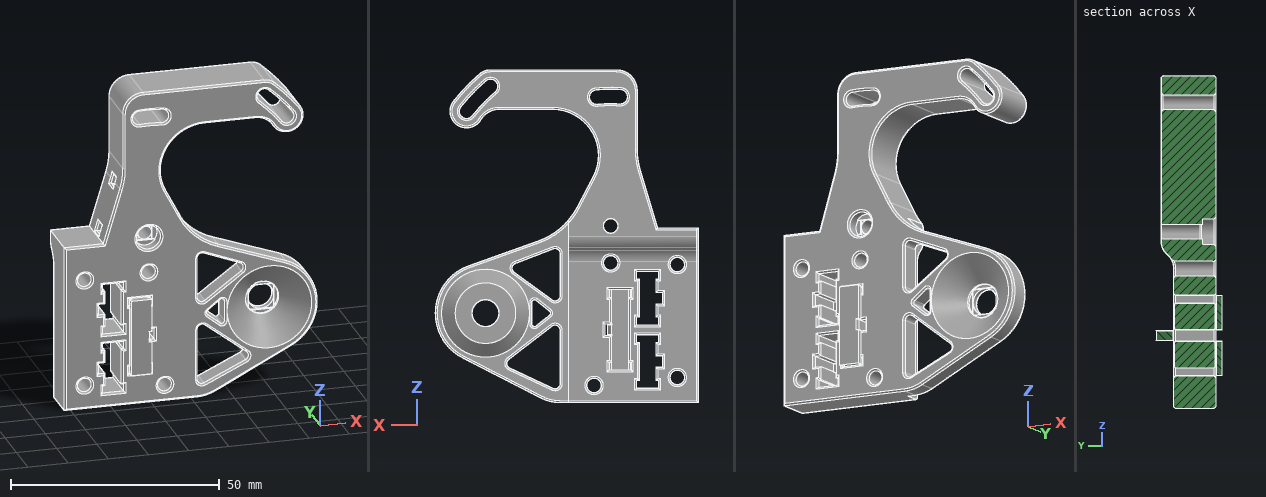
import cadquery as cq
import math

ARM_DEPTH = 13.15
BASE_DEPTH = 10.2
LOBE_DEPTH = 6.0
EDGE_CHAMFER = 0.5
RAMP_RADIUS = 3.75
RAMP_TOP = 39.9
RAMP_BOTTOM = 33.8
LOBE_START_X = 31.1
LOBE_RELIEF_TOP = 49.45

BLOCK_TOP = 41.9
NECK_X = 9.7
ARM_LEFT = 14.6
ARM_TOP = 79.75
ARM_CORNER = 5.0
BEND_RADIUS = 17.95
BEND_CENTER = (ARM_LEFT - BEND_RADIUS, 60.7)
BOTTOM_CORNER = (33.1, 10.0)
LOBE_CENTER = (51.0, 21.45)
LOBE_RADIUS = 12.05
BAY_TOP = 70.25
BAY_RADIUS = 11.0
BAY_CENTER_X = 34.9
BAY_LOWER_CENTER = (43.9, 54.55)
BAY_LOWER_RADIUS = 16.75
HOOK_FILLET = 5.0
HOOK_RADIUS = 4.0

BOLT_DIAMETER = 3.4
BOLT_CENTERS = [(5.0, 33.1), (5.0, 6.1), (25.0, 4.15), (21.0, 33.5)]
PIVOT_CENTER = (21.0, 42.35)
PIVOT_SEAT_DIAMETER = 6.0
PIVOT_SEAT_DEPTH = 3.2
BRIDGE_STEP = 0.3
SLOT_WIDTH = 3.4
ARM_SLOT_RADIUS = 31.0
ARM_SLOT_ANGLES = (83.8, 94.2)
HOOK_SLOT_RADIUS = 44.1
HOOK_TIP_ANGLE = 38.5
HOOK_BEND_ANGLE = math.degrees(math.asin((ARM_TOP - HOOK_RADIUS - PIVOT_CENTER[1]) / HOOK_SLOT_RADIUS))

CONE_DIAMETER = 21.05
SEAT_DIAMETER = 8.2
CONE_DEPTH = (CONE_DIAMETER - SEAT_DIAMETER) / 2
BORE_DIAMETER = 6.4
BOSS_BASE_RADIUS = 10.5
BOSS_END = 9.25
SEAT_DEPTH = 6.85

WINDOW_RADIUS = 1.2
WINDOWS = [
    [(34.3, 35.7), (34.3, 25.6), (43.4, 32.2)],
    [(34.3, 17.4), (34.3, 4.55), (44.65, 9.4)],
]
SMALL_WINDOW_RADIUS = 0.6
SMALL_WINDOW = [(36.05, 21.45), (39.2, 18.9), (39.2, 24.0)]

POCKET_WIDTH = 4.0
POCKET_END_WIDTH = 5.3
POCKET_END_HEIGHT = 1.8
NOTCH_REACH = 1.6
NOTCH_HEIGHT = 2.7
SHORT_POCKET = 12.75
SHORT_POCKET_CENTERS = [(12.1, 25.05), (12.1, 9.9)]
CLIP_CENTER = (18.75, 17.5)

CLIP_HEIGHT = 19.2
CLIP_HEAD_WIDTH = 5.1
CLIP_HEAD_DEPTH = 1.4
CLIP_BACK = 15.5
HEAD_NOTCH_DEPTH = 0.6
BARB_REACH = 1.0
BARB_HEIGHT = 2.4
BARB_TIP_Y = 13.5
BARB_END_Y = 14.6

TIE_DISTANCE = 8.0
TIE_INNER_RADIUS = 5.0
TIE_OUTER_RADIUS = 7.3
TIE_WIDTH = 3.0
TIE_CENTER_Y = 6.6
TIE_CHAMFER = 0.4
TIE_OVERSHOOT = 0.1


def belt(workplane, circles):
    """Closed outline round circles (x, y, radius), counterclockwise; a negative radius bends
    inward and a zero radius is a sharp corner."""
    count = len(circles)
    leaving = []
    for i, (x1, y1, r1) in enumerate(circles):
        x2, y2, r2 = circles[(i + 1) % count]
        distance = math.hypot(x2 - x1, y2 - y1)
        ratio = max(-1.0, min(1.0, (r1 - r2) / distance))
        leaving.append(math.atan2(y2 - y1, x2 - x1) - math.acos(ratio))

    def rim(circle, angle):
        x, y, radius = circle
        return (x + radius * math.cos(angle), y + radius * math.sin(angle))

    here = rim(circles[0], leaving[0])
    outline = workplane.moveTo(*here)
    for i in range(1, count + 1):
        circle = circles[i % count]
        arriving = leaving[i - 1]
        start = rim(circle, arriving)
        if math.dist(here, start) > 0.0001:
            outline = outline.lineTo(*start)
        here = start
        turn = (leaving[i % count] - arriving) % math.tau
        if circle[2] < 0:
            turn -= math.tau
        if circle[2] != 0 and abs(turn) > 1e-6:
            here = rim(circle, arriving + turn)
            outline = outline.threePointArc(rim(circle, arriving + turn / 2), here)
    return outline.close()


def front_plane(depth=0.0):
    """Sketch plane in X and Z that lies at the given Y; positive extrusion runs toward -Y."""
    return cq.Workplane("XZ", origin=(0, depth, 0))


def cylinder(center, diameter, start, end):
    return front_plane(start).center(*center).circle(diameter / 2).extrude(start - end)


def box(x_range, y_range, z_range):
    sizes = [high - low for low, high in (x_range, y_range, z_range)]
    corner = (x_range[0], y_range[0], z_range[0])
    return cq.Workplane("XY", origin=corner).box(*sizes, centered=False)


def swing_point(radius, angle):
    """Point at a distance and an angle from the pivot hole."""
    turn = math.radians(angle)
    return (PIVOT_CENTER[0] + radius * math.cos(turn), PIVOT_CENTER[1] + radius * math.sin(turn))


def plate_outline():
    hook_tip = swing_point(HOOK_SLOT_RADIUS, HOOK_TIP_ANGLE)
    hook_bend = swing_point(HOOK_SLOT_RADIUS, HOOK_BEND_ANGLE)
    hook_fillet_z = BAY_TOP - HOOK_FILLET
    fillet_rise = hook_tip[1] - hook_fillet_z
    hook_fillet_x = hook_tip[0] - math.sqrt((HOOK_RADIUS + HOOK_FILLET) ** 2 - fillet_rise**2)
    circles = [
        (0, 0, 0),
        (*BOTTOM_CORNER, BOTTOM_CORNER[1]),
        (*LOBE_CENTER, LOBE_RADIUS),
        (*BAY_LOWER_CENTER, -BAY_LOWER_RADIUS),
        (BAY_CENTER_X, BAY_TOP - BAY_RADIUS, -BAY_RADIUS),
        (hook_fillet_x, hook_fillet_z, -HOOK_FILLET),
        (*hook_tip, HOOK_RADIUS),
        (*PIVOT_CENTER, HOOK_SLOT_RADIUS + HOOK_RADIUS),
        (*hook_bend, HOOK_RADIUS),
        (ARM_LEFT + ARM_CORNER, ARM_TOP - ARM_CORNER, ARM_CORNER),
        (*BEND_CENTER, -BEND_RADIUS),
        (NECK_X, BLOCK_TOP, 0),
        (0, BLOCK_TOP, 0),
    ]
    return belt(front_plane(), circles)


def side_profile():
    """Outline in Y and Z whose back face ramps from the thin base to the thick arm."""
    circles = [
        (0, 0, 0),
        (BASE_DEPTH, 0, 0),
        (BASE_DEPTH + RAMP_RADIUS, RAMP_BOTTOM, -RAMP_RADIUS),
        (ARM_DEPTH - RAMP_RADIUS, RAMP_TOP, RAMP_RADIUS),
        (ARM_DEPTH, ARM_TOP, 0),
        (0, ARM_TOP, 0),
    ]
    return belt(cq.Workplane("YZ"), circles)


def plate_blank():
    span = LOBE_CENTER[0] + LOBE_RADIUS
    blank = plate_outline().extrude(-ARM_DEPTH).intersect(side_profile().extrude(span))
    lobe_relief = box((LOBE_START_X, span), (LOBE_DEPTH, ARM_DEPTH), (0, LOBE_RELIEF_TOP))
    return blank.cut(lobe_relief)


def swing_slot(radius, start_angle, end_angle):
    """Through slot with round ends that follows an arc round the pivot hole."""
    half_width = SLOT_WIDTH / 2
    circles = [
        (*swing_point(radius, start_angle), half_width),
        (*PIVOT_CENTER, radius + half_width),
        (*swing_point(radius, end_angle), half_width),
        (*PIVOT_CENTER, half_width - radius),
    ]
    return belt(front_plane(), circles).extrude(-ARM_DEPTH)


def window(corners, radius):
    return belt(front_plane(), [(x, z, radius) for x, z in corners]).extrude(-ARM_DEPTH)


def pocket(center, height, notch_side):
    """Through pocket with wider ends and a notch halfway up, on the left (-1) or the right (1)."""
    sketch = front_plane().center(*center)
    cutter = sketch.rect(POCKET_WIDTH, height).extrude(-ARM_DEPTH)
    end_offset = (height - POCKET_END_HEIGHT) / 2
    ends = sketch.pushPoints([(0, -end_offset), (0, end_offset)])
    cutter = cutter.union(ends.rect(POCKET_END_WIDTH, POCKET_END_HEIGHT).extrude(-ARM_DEPTH))
    notch = sketch.center(notch_side * POCKET_WIDTH / 2, 0).rect(2 * NOTCH_REACH, NOTCH_HEIGHT)
    return cutter.union(notch.extrude(-ARM_DEPTH))


def bridged_bore(center, seat_diameter, seat_depth, bore_diameter):
    """Bore below a seat: a full-width band and a square, one step deep each, then the round hole."""
    band_end = seat_depth + BRIDGE_STEP
    square_end = band_end + BRIDGE_STEP
    band = front_plane(seat_depth).center(*center).rect(seat_diameter, bore_diameter).extrude(-BRIDGE_STEP)
    band = band.intersect(cylinder(center, seat_diameter, seat_depth, band_end))
    square = front_plane(band_end).center(*center).rect(bore_diameter, bore_diameter).extrude(-BRIDGE_STEP)
    bore = cylinder(center, bore_diameter, square_end, ARM_DEPTH)
    return band.union(square).union(bore)


def lobe_turning(profile):
    """Solid turned round the lobe axis from (radius, depth) points."""
    x, z = LOBE_CENTER
    sketch = cq.Workplane("XY", origin=(x, 0, z)).polyline(profile).close()
    return sketch.revolve(360, (0, 0), (0, 1))


def lobe_boss():
    top_radius = BOSS_BASE_RADIUS - (BOSS_END - LOBE_DEPTH)
    return lobe_turning(
        [(0, LOBE_DEPTH), (BOSS_BASE_RADIUS, LOBE_DEPTH), (top_radius, BOSS_END), (0, BOSS_END)]
    )


def lobe_cone():
    mouth = CONE_DIAMETER / 2
    seat = SEAT_DIAMETER / 2
    return lobe_turning([(0, 0), (mouth, 0), (seat, CONE_DEPTH), (seat, SEAT_DEPTH), (0, SEAT_DEPTH)])


def tie_channel():
    """Ring-shaped tunnel centred on the sloping left side, with flared mouths."""
    run = BEND_CENTER[0] - NECK_X
    rise = BEND_CENTER[1] - BLOCK_TOP
    slope = math.atan2(rise, run) - math.asin(BEND_RADIUS / math.hypot(run, rise))
    inward = cq.Vector(math.sin(slope), 0, -math.cos(slope))
    along = cq.Vector(math.cos(slope), 0, math.sin(slope))
    center = cq.Vector(NECK_X, TIE_CENTER_Y, BLOCK_TOP) + along * TIE_DISTANCE

    ring = front_plane(TIE_CENTER_Y - TIE_WIDTH / 2).center(center.x, center.z)
    channel = ring.circle(TIE_OUTER_RADIUS).circle(TIE_INNER_RADIUS).extrude(-TIE_WIDTH)

    depth = TIE_CHAMFER + TIE_OVERSHOOT
    mouth_width = TIE_WIDTH + 2 * depth
    mouth_length = TIE_OUTER_RADIUS - TIE_INNER_RADIUS + 2 * depth
    mouth_offset = (TIE_OUTER_RADIUS + TIE_INNER_RADIUS) / 2
    for side in (-1, 1):
        origin = center + along * (side * mouth_offset) - inward * TIE_OVERSHOOT
        plane = cq.Plane(origin=origin, xDir=along, normal=inward)
        mouth = cq.Workplane(plane).rect(mouth_length, mouth_width).extrude(depth, taper=45)
        channel = channel.union(mouth)
    return channel


def back_rims(body):
    """Edges where the back faces meet the side walls, without the step down to the lobe."""
    back_faces = [face for face in body.faces().vals() if face.normalAt().y > 0.3]
    edges = [edge for face in back_faces for edge in face.Edges()]
    hashes = [edge.hashCode() for edge in edges]
    return [
        edge
        for edge in edges
        if hashes.count(edge.hashCode()) == 1 and abs(edge.Center().x - LOBE_START_X) > 0.01
    ]


def plate():
    body = plate_blank()
    for center in BOLT_CENTERS:
        body = body.cut(cylinder(center, BOLT_DIAMETER, 0, ARM_DEPTH))
    body = body.cut(cylinder(PIVOT_CENTER, PIVOT_SEAT_DIAMETER, 0, PIVOT_SEAT_DEPTH))
    body = body.cut(swing_slot(ARM_SLOT_RADIUS, *ARM_SLOT_ANGLES))
    body = body.cut(swing_slot(HOOK_SLOT_RADIUS, HOOK_TIP_ANGLE, HOOK_BEND_ANGLE))
    for corners in WINDOWS:
        body = body.cut(window(corners, WINDOW_RADIUS))
    body = body.cut(window(SMALL_WINDOW, SMALL_WINDOW_RADIUS))
    for center in SHORT_POCKET_CENTERS:
        body = body.cut(pocket(center, SHORT_POCKET, -1))
    body = body.cut(pocket(CLIP_CENTER, CLIP_HEIGHT, 1))
    body = body.newObject(back_rims(body)).chamfer(EDGE_CHAMFER)
    body = body.faces("<Y").edges().chamfer(EDGE_CHAMFER)

    body = body.cut(bridged_bore(PIVOT_CENTER, PIVOT_SEAT_DIAMETER, PIVOT_SEAT_DEPTH, BOLT_DIAMETER))
    body = body.union(lobe_boss()).cut(lobe_cone())
    body = body.cut(bridged_bore(LOBE_CENTER, SEAT_DIAMETER, SEAT_DEPTH, BORE_DIAMETER))
    return body.cut(tie_channel())


def clip():
    x, z = CLIP_CENTER
    half_height = CLIP_HEIGHT / 2
    side = x + POCKET_WIDTH / 2
    heights = (z - half_height, z + half_height)
    half_head = CLIP_HEAD_WIDTH / 2
    head = box((x - half_head, x + half_head), (-CLIP_HEAD_DEPTH, 0), heights)
    half_notch = NOTCH_HEIGHT / 2
    head_notch = box(
        (x + half_head - HEAD_NOTCH_DEPTH, x + half_head),
        (-CLIP_HEAD_DEPTH, 0),
        (z - half_notch, z + half_notch),
    )
    shank = box((x - POCKET_WIDTH / 2, side), (0, CLIP_BACK), heights)
    barb_outline = [
        (side, BASE_DEPTH),
        (side + BARB_REACH, BASE_DEPTH),
        (side + BARB_REACH, BARB_TIP_Y),
        (side, BARB_END_Y),
    ]
    barb = cq.Workplane("XY", origin=(0, 0, z)).polyline(barb_outline).close()
    barb = barb.extrude(BARB_HEIGHT / 2, both=True)
    return head.cut(head_notch).union(shank).union(barb)


result = cq.Compound.makeCompound([plate().val(), clip().val()])